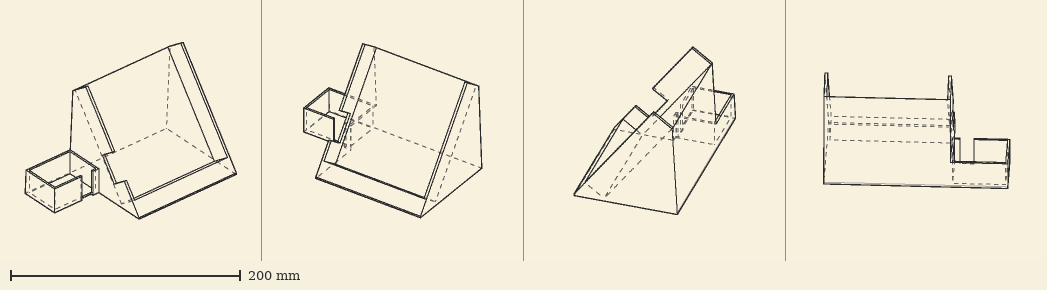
import cadquery as cq
import math

length_x = 94.9
width_y = 160.5
height_z = 101.3

slope_angle = 54.0
apex_x = 22.5
back_step_height = 2.0
recess_depth = 22.0
recess_length = 107.7
cheek_thickness = 2.5

notch_start = 61.6
notch_length = 27.3
notch_depth = 16.9

box_length = 50.0
box_height = 25.0
box_right_x = 40.1
box_wall = 2.0
box_floor = 2.0
cavity_left_x = 3.4
slot_offset = 6.7
slot_width = 12.0
slot_floor_cut = 0.5

stand_width = width_y - box_length
slope_cos = math.cos(math.radians(slope_angle))
slope_sin = math.sin(math.radians(slope_angle))


def slope_point(distance, depth):
    """Point (x, z) a distance down the slope from the apex and a depth below it."""
    x = apex_x + distance * slope_cos - depth * slope_sin
    z = height_z - distance * slope_sin - depth * slope_cos
    return (x, z)


def extrude_along_y(points, start_y, end_y):
    """Prism with an XZ outline, running from start_y to end_y."""
    plane = cq.Workplane("XZ", origin=(0, start_y, 0))
    return plane.polyline(points).close().extrude(start_y - end_y)


def block(x_range, y_range, z_range):
    """Axis-aligned block between the given limits."""
    sizes = [high - low for low, high in (x_range, y_range, z_range)]
    corner = (x_range[0], y_range[0], z_range[0])
    return cq.Workplane("XY").box(*sizes, centered=False).translate(corner)


def slope_pocket(start, end, depth, start_y, end_y):
    """Rectangular cutter sunk into the slope, standing proud of it for a clean cut."""
    proud = -recess_depth
    outline = [
        slope_point(start, depth),
        slope_point(end, depth),
        slope_point(end, proud),
        slope_point(start, proud),
    ]
    return extrude_along_y(outline, start_y, end_y)


back_top = slope_point(0, recess_depth)
back_lean = back_top[0] / (back_top[1] - back_step_height)
box_back_x = (box_height - back_step_height) * back_lean
slope_end_z = height_z - (length_x - apex_x) * slope_sin / slope_cos

stand_outline = [
    (0, 0),
    (length_x, 0),
    (length_x, slope_end_z),
    (apex_x, height_z),
    back_top,
    (0, back_step_height),
]
stand = extrude_along_y(stand_outline, box_length, box_length + stand_width)

recess = slope_pocket(
    0, recess_length, recess_depth, box_length + cheek_thickness, width_y - cheek_thickness
)

notch = slope_pocket(
    notch_start, notch_start + notch_length, notch_depth, box_length, box_length + cheek_thickness
)
stand = stand.cut(recess).cut(notch)

box_outline = [
    (0, 0),
    (box_right_x, 0),
    (box_right_x, box_height),
    (box_back_x, box_height),
    (0, back_step_height),
]
box = extrude_along_y(box_outline, 0, box_length)
cavity_right_x = box_right_x - box_wall
cavity = block(
    (cavity_left_x, cavity_right_x), (box_wall, box_length - box_wall), (box_floor, box_height)
)

slot_end_y = box_length - slot_offset
slot = block(
    (cavity_right_x - slot_floor_cut, box_right_x), (slot_end_y - slot_width, slot_end_y), (0, box_height)
)
box = box.cut(cavity).cut(slot)

result = stand.union(box)